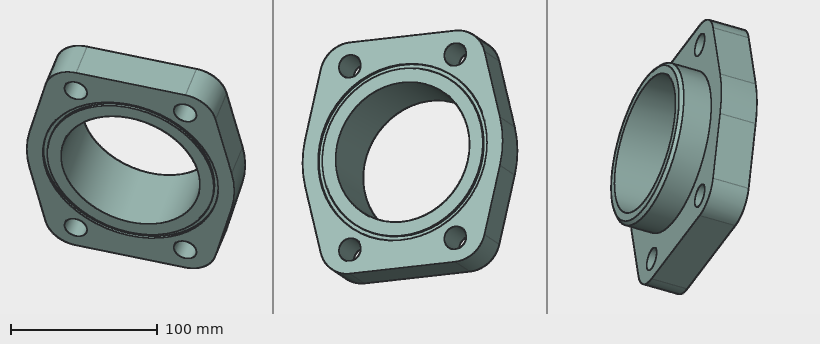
import cadquery as cq
import math

flange_width = 147.6
flange_height = 164.0
flange_thickness = 26.9
total_depth = 50.0
y_front = -total_depth / 2
side_radius = flange_width / 2
corner_radius = 22.1

bolt_spacing_x = 77.7
bolt_spacing_z = 130.0
bolt_diameter = 16.0

spigot_diameter = 115.1
spigot_chamfer = 2.5
bore_diameter = 98.7

groove_outer_diameter = 124.6
groove_inner_diameter = 118.4
groove_depth = 2.0


def cylinder(diameter, y_start, length):
    """Cylinder on the bore axis running from y_start toward +Y."""
    plane = cq.Workplane("XZ", origin=(0, y_start, 0))
    return plane.circle(diameter / 2).extrude(-length)


def make_flange():
    corner_x = bolt_spacing_x / 2
    corner_z = flange_height / 2 - corner_radius
    centre_distance = math.hypot(corner_x, corner_z)
    centre_angle = math.atan2(corner_z, corner_x)
    lean = centre_angle - math.acos((side_radius - corner_radius) / centre_distance)
    normal_x = math.cos(lean)
    normal_z = math.sin(lean)
    side_end = (side_radius * normal_x, side_radius * normal_z)
    corner_start = (corner_x + corner_radius * normal_x, corner_z + corner_radius * normal_z)
    middle = (lean + math.pi / 2) / 2
    corner_middle = (
        corner_x + corner_radius * math.cos(middle),
        corner_z + corner_radius * math.sin(middle),
    )
    quarter = (
        cq.Workplane("XZ", origin=(0, y_front, 0))
        .moveTo(0, 0)
        .lineTo(side_radius, 0)
        .threePointArc((side_radius * math.cos(lean / 2), side_radius * math.sin(lean / 2)), side_end)
        .lineTo(*corner_start)
        .threePointArc(corner_middle, (corner_x, flange_height / 2))
        .lineTo(0, flange_height / 2)
        .close()
        .extrude(-flange_thickness)
    )
    half = quarter.union(quarter.mirror("YZ"))
    return half.union(half.mirror("XY")).clean()


def make_spigot():
    return cylinder(spigot_diameter, y_front, total_depth).faces(">Y").chamfer(spigot_chamfer)


def make_bolt_holes():
    return (
        cq.Workplane("XZ", origin=(0, y_front, 0))
        .rarray(bolt_spacing_x, bolt_spacing_z, 2, 2)
        .circle(bolt_diameter / 2)
        .extrude(-flange_thickness)
    )


def make_seal_groove():
    outer = cylinder(groove_outer_diameter, y_front, groove_depth)
    return outer.cut(cylinder(groove_inner_diameter, y_front, groove_depth))


bore = cylinder(bore_diameter, y_front, total_depth)
body = make_flange().union(make_spigot())
result = body.cut(bore).cut(make_bolt_holes()).cut(make_seal_groove())